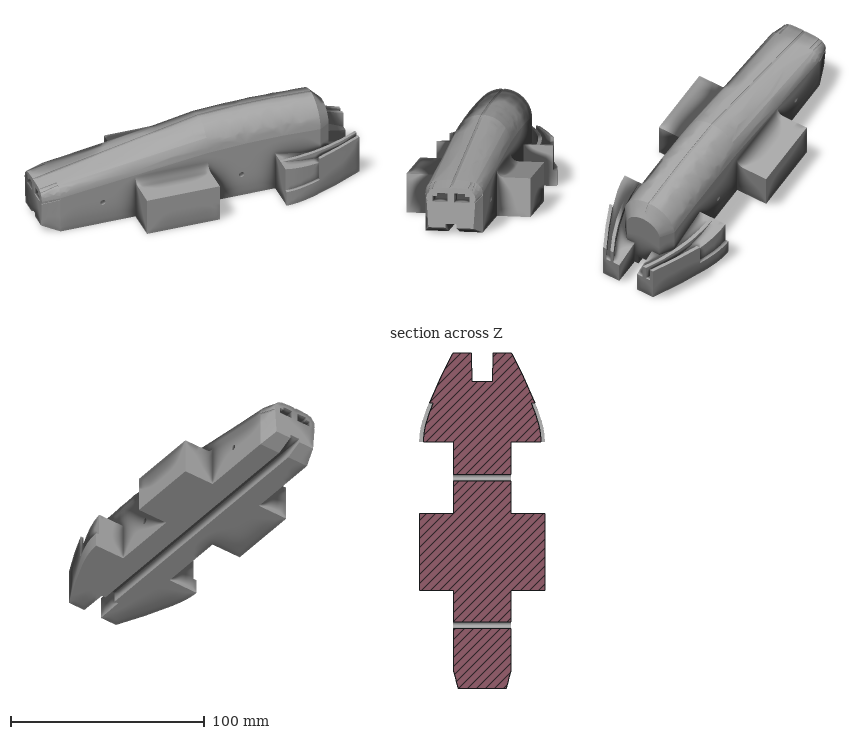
import cadquery as cq
import math

total_length = 173.4
hull_half_width = 30.0 / 2

nose_base_y = 9.5
hump_start_y = 90.5
hump_peak_y = 128.3
hump_end_y = 152.2
hull_end_y = 158.5

nose_tip_roof_z = 25.0
nose_base_roof_z = 27.2
hump_start_roof_z = 44.2
hump_peak_roof_z = 45.6
hump_end_roof_z = 44.9
hull_end_roof_z = 38.7
roof_rise = 14.0

hump_shoulder_x = 12.3
hull_end_half_width = 9.9
hull_end_rise = 8.5

tip_half_width = 12.8
tip_bottom_half_width = 11.8
tip_bottom_z = 3.8
tip_wall_z = 19.0
tip_shoulder = (9.4, 24.5)
nose_base_wall_z = 20.5
nose_base_shoulder = (11.3, 26.0)

groove_depth = 0.3
roof_groove_width = 1.4
roof_groove_end_y = 156.2
corner_groove_xs = (8.8, 11.0)
corner_groove_width = 1.0
side_groove_tip_z = 18.4
side_groove_height = 1.0

keel_slot_half_width = 3.0
keel_slot_height = 5.9
pin_hole_diameter = 3.0
pin_hole_z = 12.7
pin_hole_ys = (32.8, 108.9)
window_inner_x = 1.7
window_outer_x = 9.7
window_step_x = 7.3
window_bottom_z = 17.3
window_step_z = 20.5
window_top_z = 22.0
window_depth = 8.7

block_half_span = 65.0 / 2
block_start_y = 50.6
block_height = 20.5
block_fillet = 3.8

fin_front_y = 127.3
fin_height = 21.3
fin_floor_end_z = 12.8
fin_gap_half_width = 5.4
fin_gap_front_half_width = 4.9
outer_rib_curve = [(15.0, total_length), (20.8, 162.1), (27.4, 147.2), (31.2, 136.1), (32.5, fin_front_y)]
inner_rib_curve = [(10.8, total_length), (16.1, 162.1), (21.0, 147.2), (22.9, 136.1), (23.5, fin_front_y)]
rib_width = 1.9
fin_pocket_end_y = 147.2
fin_pocket_bottom_z = 8.3


def box(x_range, y_range, z_range):
    """Box spanning the given (low, high) ranges."""
    size = [high - low for low, high in (x_range, y_range, z_range)]
    corner = (x_range[0], y_range[0], z_range[0])
    return cq.Workplane("XY").box(*size, centered=False).translate(corner)


def mirrored(solid):
    """The solid together with its mirror image across x = 0."""
    return solid.union(solid.mirror("YZ"))


def nose_section(y, half_width, wall_z, shoulder, roof_z, bottom_half_width, bottom_z):
    """Nose section: its shoulder arcs leave the wall tops vertically and end at the shoulder points."""
    inset = half_width - shoulder[0]
    rise = shoulder[1] - wall_z
    radius = (inset**2 + rise**2) / (2 * inset)
    half_sweep = math.atan2(rise, radius - inset) / 2
    corner_mid = (half_width - radius * (1 - math.cos(half_sweep)), wall_z + radius * math.sin(half_sweep))
    return shouldered_section(
        y, half_width, wall_z, corner_mid, shoulder, roof_z, bottom_half_width, bottom_z
    )


def hump_front_section(y, roof_z):
    """Hump section with its arch split at the shoulders, to match the nose sections."""
    radius = (hull_half_width**2 + roof_rise**2) / (2 * roof_rise)

    def arch_point(x):
        return (x, roof_z - radius + math.sqrt(radius**2 - x**2))

    shoulder = arch_point(hump_shoulder_x)
    corner_mid = arch_point((hump_shoulder_x + hull_half_width) / 2)
    return shouldered_section(
        y, hull_half_width, roof_z - roof_rise, corner_mid, shoulder, roof_z, hull_half_width, 0
    )


def shouldered_section(y, half_width, wall_z, corner_mid, shoulder, roof_z, bottom_half_width, bottom_z):
    """Closed section at station y: walls, rounded shoulders and an arched roof."""
    return (
        cq.Workplane("XZ", origin=(0, y, 0))
        .moveTo(-bottom_half_width, bottom_z)
        .lineTo(bottom_half_width, bottom_z)
        .lineTo(half_width, wall_z)
        .threePointArc(corner_mid, shoulder)
        .threePointArc((0, roof_z), (-shoulder[0], shoulder[1]))
        .threePointArc((-corner_mid[0], corner_mid[1]), (-half_width, wall_z))
        .close()
        .val()
    )


def hump_section(y, roof_z, half_width=hull_half_width, rise=roof_rise):
    """Closed section at station y: upright walls under one round arch."""
    wall_z = roof_z - rise
    return (
        cq.Workplane("XZ", origin=(0, y, 0))
        .moveTo(-half_width, 0)
        .lineTo(half_width, 0)
        .lineTo(half_width, wall_z)
        .threePointArc((0, roof_z), (-half_width, wall_z))
        .close()
        .val()
    )


def loft(*sections, ruled=True):
    """Solid through the sections, straight between them unless ruled is False."""
    return cq.Workplane(obj=cq.Solid.makeLoft(list(sections), ruled))


def make_hull():
    nose_tip = nose_section(
        0, tip_half_width, tip_wall_z, tip_shoulder, nose_tip_roof_z, tip_bottom_half_width, tip_bottom_z
    )
    nose_base = nose_section(
        nose_base_y,
        hull_half_width,
        nose_base_wall_z,
        nose_base_shoulder,
        nose_base_roof_z,
        hull_half_width,
        0,
    )
    hump_front = hump_front_section(hump_start_y, hump_start_roof_z)
    hump_start = hump_section(hump_start_y, hump_start_roof_z)
    hump_peak = hump_section(hump_peak_y, hump_peak_roof_z)
    hump_end = hump_section(hump_end_y, hump_end_roof_z)
    hull_end = hump_section(hull_end_y, hull_end_roof_z, hull_end_half_width, hull_end_rise)
    return (
        loft(nose_tip, nose_base)
        .union(loft(nose_base, hump_front))
        .union(loft(hump_start, hump_peak, hump_end, ruled=False))
        .union(loft(hump_end, hull_end))
    )


def make_grooves(hull):
    """Shallow grooves: one along the roof, three along each side of the nose."""
    groove_half = roof_groove_width / 2
    above_windows = (window_top_z, hump_peak_roof_z + groove_depth)
    lowered = hull.translate((0, 0, -groove_depth))
    roof_groove = box((-groove_half, groove_half), (0, roof_groove_end_y), above_windows).cut(lowered)
    side_groove = (
        cq.Workplane("YZ")
        .moveTo(0, side_groove_tip_z)
        .lineTo(nose_base_y, nose_base_wall_z)
        .lineTo(nose_base_y, nose_base_wall_z - side_groove_height)
        .lineTo(0, side_groove_tip_z - side_groove_height)
        .close()
        .extrude(hull_half_width)
        .cut(hull.translate((-groove_depth, 0, 0)))
    )
    above_side_groove = (side_groove_tip_z, nose_base_roof_z)
    grooves = roof_groove.union(mirrored(side_groove))
    for inner_x in corner_groove_xs:
        x_range = (inner_x, inner_x + corner_groove_width)
        corner_groove = box(x_range, (0, nose_base_y), above_side_groove).cut(lowered)
        grooves = grooves.union(mirrored(corner_groove))
    return grooves


def make_blocks():
    """Side blocks, each blended into the hull wall by a concave fillet."""
    block = (
        cq.Workplane("XZ", origin=(0, hump_start_y, 0))
        .lineTo(block_half_span, 0)
        .lineTo(block_half_span, block_height)
        .lineTo(hull_half_width + block_fillet, block_height)
        .radiusArc((hull_half_width, block_height + block_fillet), block_fillet)
        .lineTo(0, block_height + block_fillet)
        .close()
        .extrude(hump_start_y - block_start_y)
    )
    return mirrored(block)


def make_inner_rib():
    """Upright curved rib along the middle of a fin."""
    inner_face = [(x - rib_width, y) for x, y in reversed(inner_rib_curve)]
    return (
        cq.Workplane("XY")
        .moveTo(*inner_rib_curve[0])
        .spline(inner_rib_curve[1:], includeCurrent=True)
        .lineTo(*inner_face[0])
        .spline(inner_face[1:], includeCurrent=True)
        .close()
        .extrude(fin_height)
    )


def make_fins():
    """Tail fins: a floor that falls towards the tail, with two full-height curved ribs."""
    plan = (
        cq.Workplane("XY")
        .moveTo(fin_gap_half_width, total_length)
        .lineTo(*outer_rib_curve[0])
        .spline(outer_rib_curve[1:], includeCurrent=True)
        .lineTo(fin_gap_front_half_width, fin_front_y)
        .close()
        .extrude(fin_height)
    )
    above_floor = (
        cq.Workplane("YZ")
        .moveTo(fin_front_y, fin_height)
        .lineTo(total_length, fin_height)
        .lineTo(total_length, fin_floor_end_z)
        .close()
        .extrude(block_half_span)
    )
    inside_outer_rib = plan.translate((-rib_width, 0, 0))
    pocket_limits = box(
        (0, block_half_span), (fin_front_y, fin_pocket_end_y), (fin_pocket_bottom_z, fin_height)
    )
    channel = above_floor.intersect(inside_outer_rib).cut(make_inner_rib())
    pocket = pocket_limits.cut(inside_outer_rib)
    return mirrored(plan.cut(channel).cut(pocket))


def make_windows():
    """Stepped blind pockets in the nose face."""
    window = (
        cq.Workplane("XZ")
        .moveTo(window_inner_x, window_bottom_z)
        .lineTo(window_outer_x, window_bottom_z)
        .lineTo(window_outer_x, window_step_z)
        .lineTo(window_step_x, window_step_z)
        .lineTo(window_step_x, window_top_z)
        .lineTo(window_inner_x, window_top_z)
        .close()
        .extrude(-window_depth)
    )
    return mirrored(window)


def make_pin_holes():
    return (
        cq.Workplane("YZ")
        .pushPoints([(y, pin_hole_z) for y in pin_hole_ys])
        .circle(pin_hole_diameter / 2)
        .extrude(hull_half_width, both=True)
    )


hull = make_hull()
keel_slot = box((-keel_slot_half_width, keel_slot_half_width), (0, total_length), (0, keel_slot_height))
result = (
    hull.cut(make_grooves(hull))
    .union(make_blocks())
    .union(make_fins())
    .cut(keel_slot)
    .cut(make_windows())
    .cut(make_pin_holes())
)